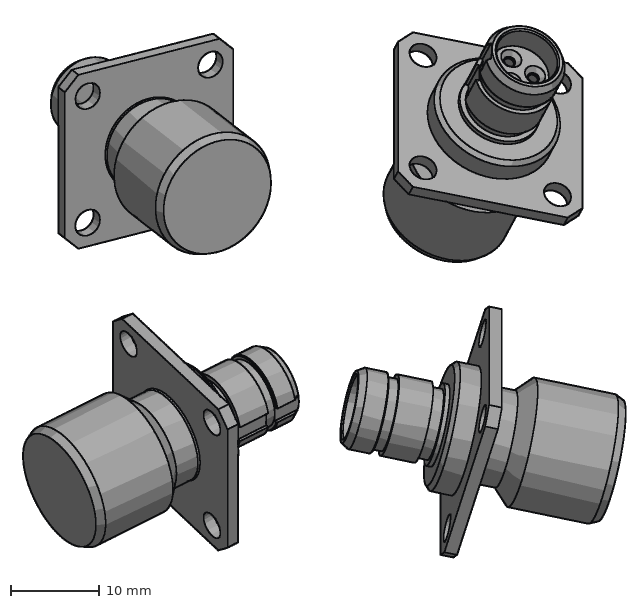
import cadquery as cq
import math

flange_side = 22.0
flange_corner_chamfer = 1.77
flange_front = 13.48
flange_thickness = 1.5
flange_back = flange_front + flange_thickness
hole_pitch = 16.0
hole_diameter = 3.2

nose_radius = 4.73
nose_tip_radius = 4.2
nose_taper_length = 0.85
nose_edge_chamfer = 0.12
nose_end = 3.42
front_groove_radius = 4.2
front_groove_end = 4.6
land_end = 8.57
rear_groove_radius = 4.12
rear_groove_end = 9.95
collar_radius = 4.8

boss_radius = 7.5
boss_front = 10.5
boss_chamfer = 0.52

neck_radius = 5.65
neck_root_chamfer = 0.25
neck_root_step = 0.1
barrel_start = 20.07
barrel_radius = boss_radius
neck_end = barrel_start - (barrel_radius - neck_radius)
total_length = 30.5
barrel_taper_length = 1.0
barrel_end_radius = 7.0

key_width = 2.15
key_floor = 4.25

socket_radius = 3.63
socket_chamfer = 0.18
socket_depth = 3.0
insert_gap = 0.1
insert_gap_depth = 0.3

contact_count = 3
contact_circle_radius = 1.9
contact_mouth_radius = 1.22
contact_throat_radius = 0.67
contact_bore_radius = 0.58
contact_cone_depth = 0.6
contact_throat_depth = 0.25
contact_bore_depth = 1.83
contact_tip_depth = 0.3


def revolved(profile):
    """Solid of revolution about the X axis from (x, radius) points."""
    return cq.Workplane("XY").polyline(profile).close().revolve(360, (0, 0, 0), (1, 0, 0))


def connector_body():
    return revolved([
        (0, 0),
        (0, nose_tip_radius),
        (nose_taper_length, nose_radius),
        (nose_end - nose_edge_chamfer, nose_radius),
        (nose_end, nose_radius - nose_edge_chamfer),
        (nose_end, front_groove_radius),
        (front_groove_end, front_groove_radius),
        (front_groove_end, nose_radius),
        (land_end, nose_radius),
        (land_end, rear_groove_radius),
        (rear_groove_end, rear_groove_radius),
        (rear_groove_end, collar_radius),
        (boss_front, collar_radius),
        (boss_front, boss_radius - boss_chamfer),
        (boss_front + boss_chamfer, boss_radius),
        (flange_back, boss_radius),
        (flange_back, neck_radius + neck_root_step),
        (flange_back + neck_root_chamfer, neck_radius),
        (neck_end, neck_radius),
        (barrel_start, barrel_radius),
        (total_length - barrel_taper_length, barrel_radius),
        (total_length, barrel_end_radius),
        (total_length, 0),
    ])


def flange():
    plate = (
        cq.Workplane("YZ", origin=(flange_front, 0, 0))
        .rect(flange_side, flange_side)
        .extrude(flange_thickness)
        .edges("|X")
        .chamfer(flange_corner_chamfer)
    )
    return (
        plate.faces("<X")
        .workplane(origin=(flange_front, 0, 0))
        .rect(hole_pitch, hole_pitch, forConstruction=True)
        .vertices()
        .hole(hole_diameter)
    )


def keyway():
    height = collar_radius - key_floor
    return (
        cq.Workplane("XY", origin=(0, key_floor, 0))
        .box(rear_groove_end, height, key_width, centered=(False, False, True))
    )


def socket():
    """Chamfered bore with a thin ring gap around the contact insert at its floor."""
    insert_radius = socket_radius - insert_gap
    return revolved([
        (0, 0),
        (0, socket_radius + socket_chamfer),
        (socket_chamfer, socket_radius),
        (socket_depth + insert_gap_depth, socket_radius),
        (socket_depth + insert_gap_depth, insert_radius),
        (socket_depth, insert_radius),
        (socket_depth, 0),
    ])


def contact_hole(angle):
    """Countersunk, stepped blind hole; the angle is measured from +Y toward +Z."""
    cone_end = socket_depth + contact_cone_depth
    throat_end = cone_end + contact_throat_depth
    bore_end = throat_end + contact_bore_depth
    hole = revolved([
        (socket_depth, 0),
        (socket_depth, contact_mouth_radius),
        (cone_end, contact_throat_radius),
        (throat_end, contact_throat_radius),
        (throat_end, contact_bore_radius),
        (bore_end, contact_bore_radius),
        (bore_end + contact_tip_depth, 0),
    ])
    return hole.translate((
        0,
        contact_circle_radius * math.cos(angle),
        contact_circle_radius * math.sin(angle),
    ))


result = connector_body().union(flange()).cut(keyway()).cut(socket())

first_contact_angle = math.pi
contact_spacing = 2 * math.pi / contact_count
for index in range(contact_count):
    result = result.cut(contact_hole(first_contact_angle + index * contact_spacing))